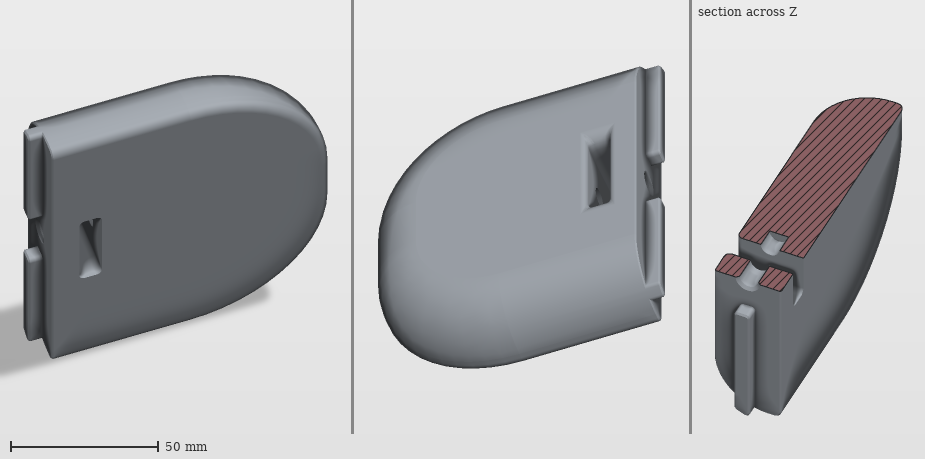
import cadquery as cq

THICKNESS = 25.0
HEIGHT = 120.0
OVERALL_LENGTH = 105.0
BODY_LENGTH = 100.0
CORNER_RADIUS = 50.0
FRONT_RADIUS = 20.0
BACK_RADIUS = 3.0
END_BEVEL = 0.5

TONGUE_WIDTH = 5.8
TONGUE_LENGTH = OVERALL_LENGTH - BODY_LENGTH
TONGUE_GAP = 23.0
TONGUE_CORNER_RADIUS = 1.5
TONGUE_BEVEL = 0.6

SLOT_WIDTH = 8.2
SLOT_HEIGHT = 32.6
SLOT_CENTER_Y = 13.9
SLOT_SIDE_RADIUS = 2.0
SLOT_END_RADIUS = 5.0
SLOT_CORNER_RADIUS = 2.0

HOLE_DIAMETER = 7.0
HOLE_MOUTH_DIAMETER = 9.0
HOLE_DEPTH = 25.2

MID_X = THICKNESS / 2


def block(x_range, y_start, length, z_range):
    """Box from its X range, Y start and length, and Z range."""
    size_x = x_range[1] - x_range[0]
    size_z = z_range[1] - z_range[0]
    corner = (x_range[0], y_start, z_range[0])
    return cq.Workplane("XY").box(size_x, length, size_z, centered=False).translate(corner)


def make_body():
    """D-shaped block with a large front rounding and a small back rounding."""
    body = block((0, THICKNESS), 0, BODY_LENGTH, (-HEIGHT / 2, HEIGHT / 2))
    body = body.edges("|X and >Y").fillet(CORNER_RADIUS)
    body = body.faces("<X").edges("not <Y").fillet(FRONT_RADIUS)
    body = body.faces(">X").edges("not <Y").fillet(BACK_RADIUS)
    return body.faces("<Y").chamfer(END_BEVEL)


def make_tongue():
    """Upper tongue, its outer end following the rounded section of the body."""
    length = TONGUE_LENGTH + END_BEVEL
    x_range = (MID_X - TONGUE_WIDTH / 2, MID_X + TONGUE_WIDTH / 2)
    rounding_center_z = HEIGHT / 2 - FRONT_RADIUS
    straight = block(x_range, -TONGUE_LENGTH, length, (TONGUE_GAP / 2, rounding_center_z))
    end = block(x_range, -TONGUE_LENGTH, length, (rounding_center_z, HEIGHT / 2))
    rounding = (
        cq.Workplane("XZ", origin=(FRONT_RADIUS, END_BEVEL, rounding_center_z))
        .circle(FRONT_RADIUS)
        .extrude(length)
    )
    tongue = straight.union(end.intersect(rounding))
    tongue = tongue.edges("|Y").fillet(TONGUE_CORNER_RADIUS)
    return tongue.faces("<Y").chamfer(TONGUE_BEVEL)


def flared_profile(plane, half_width, radius):
    """Slot profile across the thickness, its -X end flaring out on tangent arcs."""
    mouth = half_width + radius
    return (
        cq.Workplane(plane)
        .moveTo(0, -mouth)
        .radiusArc((radius, -half_width), radius)
        .lineTo(THICKNESS, -half_width)
        .lineTo(THICKNESS, half_width)
        .lineTo(radius, half_width)
        .radiusArc((0, mouth), radius)
        .close()
        .extrude(HEIGHT / 2, both=True)
    )


def make_slot():
    """Slot cutter: side flare and end flare crossed, with rounded corners."""
    side_flare = flared_profile("XY", SLOT_WIDTH / 2, SLOT_SIDE_RADIUS)
    end_flare = flared_profile("XZ", SLOT_HEIGHT / 2, SLOT_END_RADIUS)
    slot = side_flare.intersect(end_flare).edges("|X").fillet(SLOT_CORNER_RADIUS)
    return slot.translate((0, SLOT_CENTER_Y, 0))


def make_hole():
    """Blind hole cutter with a 45 degree countersink at the flat end."""
    radius = HOLE_DIAMETER / 2
    mouth_radius = HOLE_MOUTH_DIAMETER / 2
    return (
        cq.Workplane("XY", origin=(MID_X, 0, 0))
        .polyline(
            [
                (0, 0),
                (mouth_radius, 0),
                (radius, mouth_radius - radius),
                (radius, HOLE_DEPTH),
                (0, HOLE_DEPTH),
            ]
        )
        .close()
        .revolve(360, (0, 0, 0), (0, 1, 0))
    )


upper_tongue = make_tongue()
lower_tongue = upper_tongue.mirror("XY")
result = make_body().union(upper_tongue).union(lower_tongue).cut(make_slot()).cut(make_hole())